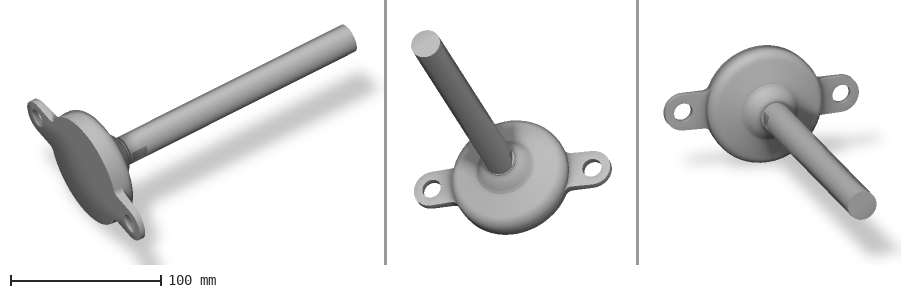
import cadquery as cq
import math

total_length = 211.5

base_radius = 40.0
underside_radius = 39.5
drafted_height = 6.0
shoulder_start = 8.6
shoulder_radius = 8.0
cone_angle = math.radians(20)
lip_bottom = 21.6
lip_top = 22.9

lug_span = 136.0
lug_width = 25.0
lug_end_radius = lug_width / 2
lug_hole_diameter = 13.0
lug_hole_x = lug_span / 2 - lug_end_radius
lug_root_fillet = 5.0
lug_tip_height = 4.0

spindle_radius = 10.0
dome_radius = 22.0
collar_bottom = 29.9
collar_top = 30.5
neck_radius = 8.0
shank_bottom = 31.8
flat_bottom = 33.0
flat_length = 11.5
across_flats = 17.0

dome_center_y = collar_bottom - math.sqrt(dome_radius**2 - spindle_radius**2)


def dome_radius_at(y):
    """Radius of the dome's horizontal section at height y."""
    return math.sqrt(dome_radius**2 - (y - dome_center_y) ** 2)


def revolve_about_y(profile):
    """Close a half profile and turn it into a solid about the spindle axis."""
    return profile.close().revolve(360, (0, 0, 0), (0, 1, 0))


def box_on_y(size_x, size_y, size_z, x, y_bottom):
    """Box centred on X = x and Z = 0 that starts at y_bottom."""
    return cq.Workplane("XY").box(size_x, size_y, size_z).translate((x, y_bottom + size_y / 2, 0))


def make_flange():
    """Drafted disc with two filleted lugs whose tops slope down to the tips."""
    disc = revolve_about_y(
        cq.Workplane("XY")
        .lineTo(underside_radius, 0)
        .lineTo(base_radius, drafted_height)
        .lineTo(0, drafted_height)
    )
    lugs = cq.Workplane("XZ").slot2D(lug_span, lug_width).extrude(-drafted_height)
    flange = disc.union(lugs)

    root_x = math.sqrt(base_radius**2 - lug_end_radius**2)
    for side_x in (-1, 1):
        for side_z in (-1, 1):
            root = (side_x * root_x, drafted_height / 2, side_z * lug_end_radius)
            flange = flange.edges(cq.selectors.NearestToPointSelector(root)).fillet(lug_root_fillet)

    tip_x = lug_span / 2
    side_envelope = (
        cq.Workplane("XY")
        .polyline([
            (-tip_x, 0),
            (tip_x, 0),
            (tip_x, lug_tip_height),
            (base_radius, drafted_height),
            (-base_radius, drafted_height),
            (-tip_x, lug_tip_height),
        ])
        .close()
        .extrude(base_radius, both=True)
    )
    holes = (
        cq.Workplane("XZ")
        .pushPoints([(-lug_hole_x, 0), (lug_hole_x, 0)])
        .circle(lug_hole_diameter / 2)
        .extrude(-drafted_height)
    )
    return flange.intersect(side_envelope).cut(holes)


def make_base():
    """Flange topped by the rounded shoulder, the cone and the dome lip."""
    shoulder_center_x = base_radius - shoulder_radius

    def shoulder_point(angle):
        return (
            shoulder_center_x + shoulder_radius * math.cos(angle),
            shoulder_start + shoulder_radius * math.sin(angle),
        )

    shoulder_sweep = math.pi / 2 - cone_angle
    shoulder_end = shoulder_point(shoulder_sweep)
    lip_outer_radius = shoulder_end[0] - (lip_bottom - shoulder_end[1]) / math.tan(cone_angle)
    body = revolve_about_y(
        cq.Workplane("XY")
        .moveTo(0, drafted_height)
        .lineTo(base_radius, drafted_height)
        .lineTo(base_radius, shoulder_start)
        .threePointArc(shoulder_point(shoulder_sweep / 2), shoulder_end)
        .lineTo(lip_outer_radius, lip_bottom)
        .lineTo(dome_radius_at(lip_top), lip_top)
        .lineTo(0, lip_top)
    )
    return make_flange().union(body)


def make_spindle():
    """Dome, collar, neck and long shank with two wrench flats."""
    dome_middle = (lip_top + collar_bottom) / 2
    spindle = revolve_about_y(
        cq.Workplane("XY")
        .moveTo(0, lip_top)
        .lineTo(dome_radius_at(lip_top), lip_top)
        .threePointArc((dome_radius_at(dome_middle), dome_middle), (spindle_radius, collar_bottom))
        .lineTo(spindle_radius, collar_top)
        .lineTo(neck_radius, collar_top)
        .lineTo(neck_radius, shank_bottom)
        .lineTo(spindle_radius, shank_bottom)
        .lineTo(spindle_radius, total_length)
        .lineTo(0, total_length)
    )
    cutter_width = spindle_radius
    for side in (-1, 1):
        cutter_x = side * (across_flats + cutter_width) / 2
        spindle = spindle.cut(
            box_on_y(cutter_width, flat_length, 2 * spindle_radius, cutter_x, flat_bottom)
        )
    return spindle


base = make_base()
spindle = make_spindle()
result = cq.Compound.makeCompound([base.val(), spindle.val()])